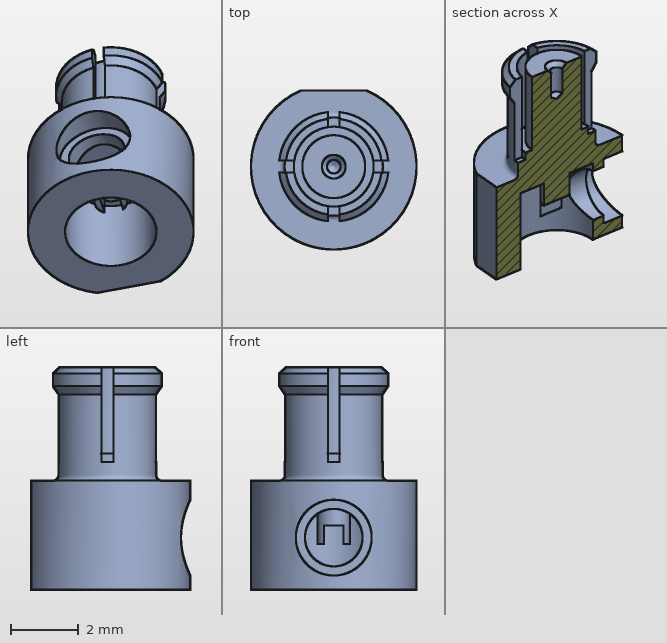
import cadquery as cq
import math

body_radius = 2.45
body_height = 3.23
flat_offset = 2.25

total_height = 6.58
sleeve_radius = 1.45
sleeve_bore_radius = 1.18
base_fillet = 0.15
collar_radius = 1.62
collar_top_radius = 1.42
collar_chamfer_height = 0.19
collar_band_height = 0.37
collar_taper_height = 0.25

core_radius = 0.93
gap_floor_z = 4.03
slot_width = 0.35
slot_floor_z = 3.78
slot_count = 4

pilot_radius = 0.2
pilot_mouth_radius = 0.35
pilot_depth = 1.0
pilot_point_depth = 0.12

window_z = 1.545
window_radius = 0.85
window_recess_radius = 1.12
window_recess_floor = 1.75

cavity_radius = 1.35
cavity_height = window_z + window_recess_radius
pin_radius = 0.485
pin_tip_z = 1.355
fork_width = 0.565
fork_top_z = 1.9


def make_body():
    """Drum cut off flat on the +Y side."""
    drum = cq.Workplane("XY").circle(body_radius).extrude(body_height)
    flat_cutter = (
        cq.Workplane("XY")
        .center(0, flat_offset + body_radius)
        .rect(2 * body_radius, 2 * body_radius)
        .extrude(body_height)
    )
    return drum.cut(flat_cutter)


def make_sleeve():
    """Solid of revolution: filleted foot, straight neck and bevelled collar."""
    band_top_z = total_height - collar_chamfer_height
    band_bottom_z = band_top_z - collar_band_height
    neck_top_z = band_bottom_z - collar_taper_height
    foot_radius = sleeve_radius + base_fillet
    fillet_mid_offset = base_fillet * (1 - math.sqrt(0.5))
    fillet_mid = (sleeve_radius + fillet_mid_offset, body_height + fillet_mid_offset)
    return (
        cq.Workplane("XZ")
        .moveTo(0, cavity_height)
        .lineTo(foot_radius, cavity_height)
        .lineTo(foot_radius, body_height)
        .threePointArc(fillet_mid, (sleeve_radius, body_height + base_fillet))
        .lineTo(sleeve_radius, neck_top_z)
        .lineTo(collar_radius, band_bottom_z)
        .lineTo(collar_radius, band_top_z)
        .lineTo(collar_top_radius, total_height)
        .lineTo(0, total_height)
        .close()
        .revolve(360, (0, 0, 0), (0, 1, 0))
    )


def make_ring_gap():
    """Annular space between the core and the sleeve."""
    return (
        cq.Workplane("XY")
        .workplane(offset=gap_floor_z)
        .circle(sleeve_bore_radius)
        .circle(core_radius)
        .extrude(total_height - gap_floor_z)
    )


def make_slots():
    """Radial slots through the sleeve wall, stopping at its bore."""
    slot_height = total_height - slot_floor_z
    bars = cq.Workplane("XY")
    for index in range(slot_count):
        bar = (
            cq.Workplane("XY")
            .box(2 * collar_radius, slot_width, slot_height, centered=(False, True, False))
            .rotate((0, 0, 0), (0, 0, 1), index * 360 / slot_count)
        )
        bars = bars.add(bar)
    bore = cq.Workplane("XY").circle(sleeve_bore_radius).extrude(slot_height)
    return bars.combine().cut(bore).translate((0, 0, slot_floor_z))


def make_pilot_hole():
    """Countersunk blind hole with a conical bottom."""
    countersink_depth = pilot_mouth_radius - pilot_radius
    hole_bottom_z = total_height - pilot_depth
    return (
        cq.Workplane("XZ")
        .moveTo(0, total_height)
        .lineTo(pilot_mouth_radius, total_height)
        .lineTo(pilot_radius, total_height - countersink_depth)
        .lineTo(pilot_radius, hole_bottom_z)
        .lineTo(0, hole_bottom_z - pilot_point_depth)
        .close()
        .revolve(360, (0, 0, 0), (0, 1, 0))
    )


def make_window():
    """Stepped round opening from the -Y side to the cavity."""
    opening = cq.Workplane("XZ").center(0, window_z).circle(window_radius).extrude(body_radius)
    recess = (
        cq.Workplane("XZ", origin=(0, -window_recess_floor, 0))
        .center(0, window_z)
        .circle(window_recess_radius)
        .extrude(body_radius - window_recess_floor)
    )
    return opening.union(recess)


def make_cavity():
    """Round pocket in the underside of the body."""
    return cq.Workplane("XY").circle(cavity_radius).extrude(cavity_height)


def make_contact_pin():
    """Pin below the cavity roof, its tip split into a fork along Y."""
    pin = (
        cq.Workplane("XY")
        .workplane(offset=pin_tip_z)
        .circle(pin_radius)
        .extrude(body_height - pin_tip_z)
    )
    fork_gap = (
        cq.Workplane("XY")
        .workplane(offset=pin_tip_z)
        .rect(fork_width, 2 * pin_radius)
        .extrude(fork_top_z - pin_tip_z)
    )
    return pin.cut(fork_gap)


result = (
    make_body()
    .union(make_sleeve())
    .cut(make_ring_gap())
    .cut(make_slots())
    .cut(make_pilot_hole())
    .cut(make_cavity())
    .cut(make_window())
    .union(make_contact_pin())
)